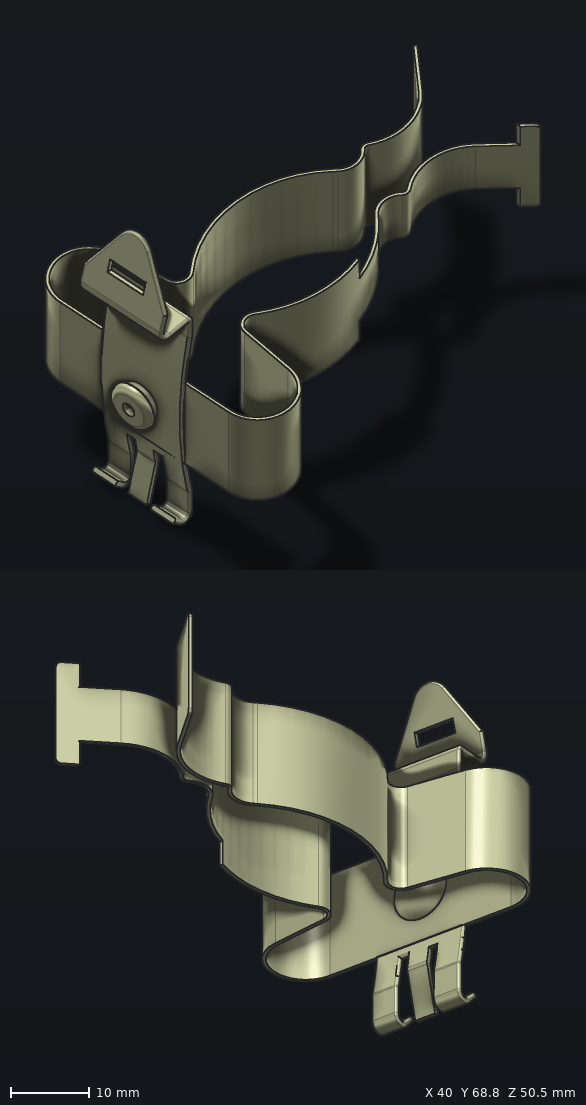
import cadquery as cq
import math


clip_thickness = 0.5
clip_width = 15.0
clip_corner_radius = 0.7
flat_half_length = 14.4
lobe_radius, lobe_angle = 5.35, 172.5
shoulder_length = 8.5
neck_radius, neck_angle = 1.93, 120.2
belly_radius, belly_angle = 19.15, 82.8
belly_to_waist_length = 0.6
waist_radius, waist_angle = 3.39, 90.0
notch_radius, notch_angle = 1.0, 78.9
lip_radius, lip_angle = 8.85, 80.5
jaw_end_length = 8.33

narrow_start_y = 31.0
narrow_end_y = 62.0
narrow_width = 8.0

plate_thickness = 0.8
plate_width = 14.0
plate_edge_round = 0.34
crown_front_y = -0.68
crown_z = 0.9
bow_half_height = 14.3
bow_depth = 1.46
crease_radius = 0.8
ledge_top_z = 19.0
ledge_bend_radius = 0.5
arm_bend_radius = 1.5
arm_lean = 15.0
arm_front_y = -4.65
arm_tip_z = 31.7
arm_tip_radius = 2.9
arm_shoulder_z = 23.1
arm_stock_length = 13.0
hook_radius = 1.05
hook_angle = 135.0
hook_bottom_z = -18.81
hook_end_length = 1.93

window_width = 6.1
window_height = 2.0
window_z = 25.0
slot_top_z = -9.05
slot_outer_x = 3.0
tongue_width = 3.15
tongue_bend_z = -11.25
tongue_lean = 14.2
tongue_length = 6.8

seat_depth = 1.0

shank_radius = 2.88
groove_radius = 2.03
button_radius = 3.5
button_edge_round = 1.0
collar_front_y = -1.5
button_back_y = -1.95
button_front_y = -3.0
dimple_radius = 1.0
dimple_depth = 1.0
dome_radius = 5.1
dome_height = 2.15
hole_reach = 2.0

plate_half_thickness = plate_thickness / 2
crown_y = crown_front_y + plate_half_thickness
bow_angle = 2 * math.degrees(math.atan(bow_depth / bow_half_height))
bow_radius = bow_half_height / math.sin(math.radians(bow_angle))
crease_drift = crease_radius * (1 - math.cos(math.radians(bow_angle)))
crease_rise = crease_radius * math.sin(math.radians(bow_angle))
upright_y = crown_y + bow_depth + crease_drift
upright_start = bow_half_height + crease_rise

arm_bend_y = arm_front_y + plate_half_thickness + arm_bend_radius

CUT_SIZE = 100.0
SELECT_MARGIN = 0.01


def straight(length):
    return length, 0, 0


def bend(radius, angle):
    """Bend on the middle surface; a positive angle turns left."""
    return 0, radius, angle


def bent_sheet(plane, start, heading, steps, thickness):
    """Workplane outline of a sheet whose middle line follows straights and bends."""
    x, y = start
    direction = math.radians(heading)
    stations = [(x, y, direction)]
    middles = []
    for length, radius, angle in steps:
        if angle == 0:
            x += length * math.cos(direction)
            y += length * math.sin(direction)
            middles.append(None)
        else:
            turn = math.radians(angle)
            signed_radius = math.copysign(radius, angle)
            center_x = x - signed_radius * math.sin(direction)
            center_y = y + signed_radius * math.cos(direction)
            arc = []
            for share in (0.5, 1.0):
                along = direction + share * turn
                arc.append((
                    center_x + signed_radius * math.sin(along),
                    center_y - signed_radius * math.cos(along),
                    along,
                ))
            middles.append(arc[0])
            x, y, direction = arc[1]
        stations.append((x, y, direction))

    def beside(station, offset):
        px, py, along = station
        return px - offset * math.sin(along), py + offset * math.cos(along)

    def trace(outline, ends, arc_middles, offset):
        for end, middle in zip(ends, arc_middles):
            if middle is None:
                outline = outline.lineTo(*beside(end, offset))
            else:
                outline = outline.threePointArc(beside(middle, offset), beside(end, offset))
        return outline

    half = thickness / 2
    outline = cq.Workplane(plane).moveTo(*beside(stations[0], half))
    outline = trace(outline, stations[1:], middles, half)
    outline = outline.lineTo(*beside(stations[-1], -half))
    outline = trace(outline, stations[-2::-1], middles[::-1], -half)
    return outline.close()


def block(x_range, y_range, z_range):
    sizes = [high - low for low, high in (x_range, y_range, z_range)]
    corner = (x_range[0], y_range[0], z_range[0])
    return cq.Workplane("XY").box(*sizes, centered=False).translate(corner)


def make_clip():
    steps = [
        straight(flat_half_length),
        bend(lobe_radius, lobe_angle),
        straight(shoulder_length),
        bend(neck_radius, -neck_angle),
        bend(belly_radius, belly_angle),
        straight(belly_to_waist_length),
        bend(waist_radius, -waist_angle),
        bend(notch_radius, notch_angle),
        bend(lip_radius, -lip_angle),
        straight(jaw_end_length),
    ]
    outline = bent_sheet("XY", (0, clip_thickness / 2), 0, steps, clip_thickness)
    half = outline.extrude(clip_width / 2, both=True)
    half = half.faces(">Y").edges("not |Z").fillet(clip_corner_radius)

    jaw_side = (0, CUT_SIZE)
    narrow_part = (narrow_start_y, narrow_end_y)
    margins = block(jaw_side, narrow_part, (-clip_width, clip_width)).cut(
        block(jaw_side, narrow_part, (-narrow_width / 2, narrow_width / 2))
    )
    clip = half.cut(margins).union(half.mirror("YZ"))
    return clip.cut(rivet_hole())


def plate_sheet(heading, steps, width):
    outline = bent_sheet("YZ", (crown_y, crown_z), heading, steps, plate_thickness)
    return outline.extrude(width / 2, both=True)


def upper_sheet():
    ledge_z = ledge_top_z - plate_half_thickness
    steps = [
        bend(bow_radius, -bow_angle),
        bend(crease_radius, bow_angle),
        straight(ledge_z - ledge_bend_radius - crown_z - upright_start),
        bend(ledge_bend_radius, 90),
        straight(upright_y - ledge_bend_radius - arm_bend_y),
        bend(arm_bend_radius, -(90 + arm_lean)),
        straight(arm_stock_length),
    ]
    return plate_sheet(90, steps, plate_width)


def lower_sheet():
    hook_center_z = hook_bottom_z + plate_half_thickness + hook_radius
    steps = [
        bend(bow_radius, bow_angle),
        bend(crease_radius, -bow_angle),
        straight(crown_z - upright_start - hook_center_z),
        bend(hook_radius, -hook_angle),
        straight(hook_end_length),
    ]
    return plate_sheet(-90, steps, plate_width)


def tongue():
    reach_angle = math.degrees(math.asin((crown_z - tongue_bend_z) / bow_radius))
    steps = [
        bend(bow_radius, reach_angle),
        bend(crease_radius, -(reach_angle + tongue_lean)),
        straight(tongue_length),
    ]
    below_slot_top = block((-CUT_SIZE, CUT_SIZE), (-CUT_SIZE, CUT_SIZE), (-CUT_SIZE, slot_top_z))
    return plate_sheet(-90, steps, tongue_width).intersect(below_slot_top)


def front_silhouette():
    """Plate width with a tapering top whose straight flanks run tangent into a round tip."""
    half_width = plate_width / 2
    tip_center_z = arm_tip_z - arm_tip_radius
    drop = tip_center_z - arm_shoulder_z
    flank_reach = math.hypot(drop, half_width)
    tangent_angle = math.atan2(-drop, half_width) + math.acos(arm_tip_radius / flank_reach)
    tangent_x = arm_tip_radius * math.cos(tangent_angle)
    tangent_z = tip_center_z + arm_tip_radius * math.sin(tangent_angle)
    return (
        cq.Workplane("XZ")
        .moveTo(-half_width, -CUT_SIZE)
        .lineTo(half_width, -CUT_SIZE)
        .lineTo(half_width, arm_shoulder_z)
        .lineTo(tangent_x, tangent_z)
        .threePointArc((0, arm_tip_z), (-tangent_x, tangent_z))
        .lineTo(-half_width, arm_shoulder_z)
        .close()
        .extrude(CUT_SIZE, both=True)
    )


def arm_window():
    """Slot cut square through the leaning arm."""
    arm_bend_z = ledge_top_z - plate_half_thickness + arm_bend_radius
    lean = math.radians(arm_lean)
    window_y = arm_bend_y - arm_bend_radius / math.cos(lean) + (window_z - arm_bend_z) * math.tan(lean)
    return (
        cq.Workplane("XY")
        .box(window_width, 3 * plate_thickness, window_height)
        .rotate((0, 0, 0), (1, 0, 0), -arm_lean)
        .translate((0, window_y, window_z))
    )


def is_through_edge(edge):
    """True for a straight edge that runs from one face of the sheet to the other."""
    longest = plate_thickness / math.cos(math.radians(arm_lean)) + SELECT_MARGIN
    is_long_enough = edge.Length() > plate_thickness - SELECT_MARGIN
    return edge.geomType() == "LINE" and is_long_enough and edge.Length() < longest


def round_rims(plate, edges):
    """Round the given edges, leaving out those that run straight through the sheet."""
    rims = [edge for edge in edges if not is_through_edge(edge)]
    return plate.newObject(rims).fillet(plate_edge_round)


def make_plate():
    far = (-CUT_SIZE, CUT_SIZE)
    blank = upper_sheet().union(lower_sheet()).intersect(front_silhouette())
    plate = round_rims(blank, blank.edges("not |X").vals())

    tongue_side = tongue_width / 2
    bottom = -CUT_SIZE
    plate = plate.cut(block((tongue_side, slot_outer_x), far, (bottom, slot_top_z)))
    slot_rims = plate.edges(cq.selectors.BoxSelector(
        (tongue_side + SELECT_MARGIN, -CUT_SIZE, -CUT_SIZE),
        (slot_outer_x + SELECT_MARGIN, CUT_SIZE, slot_top_z + SELECT_MARGIN),
    ))
    plate = round_rims(plate, slot_rims.vals())
    plate = plate.cut(block((-slot_outer_x, tongue_side), far, (bottom, slot_top_z)))
    plate = plate.union(tongue())

    half_clip = clip_width / 2
    seat = block(far, (0, seat_depth), (-half_clip, half_clip))
    return plate.cut(seat).cut(arm_window()).cut(rivet_hole())


def rivet_hole():
    """Shank-sized cutter reaching through the sheets next to the rivet, clear of the jaws."""
    return cq.Workplane("XZ").circle(shank_radius).extrude(hole_reach, both=True)


def make_rivet():
    dome_base_radius = math.sqrt(2 * dome_radius * dome_height - dome_height**2)
    dome_center_y = clip_thickness + dome_height - dome_radius
    half_rim = math.atan2(dome_base_radius, dome_radius - dome_height) / 2
    dome_middle = (dome_radius * math.sin(half_rim), dome_center_y + dome_radius * math.cos(half_rim))
    round_start = button_radius - button_edge_round
    diagonal = button_edge_round * math.sqrt(0.5)
    round_middle = (round_start + diagonal, button_front_y + button_edge_round - diagonal)
    return (
        cq.Workplane("XY")
        .moveTo(0, button_front_y + dimple_depth)
        .lineTo(dimple_radius, button_front_y)
        .lineTo(round_start, button_front_y)
        .threePointArc(round_middle, (button_radius, button_front_y + button_edge_round))
        .lineTo(button_radius, button_back_y)
        .lineTo(groove_radius, button_back_y)
        .lineTo(groove_radius, collar_front_y)
        .lineTo(shank_radius, collar_front_y)
        .lineTo(shank_radius, clip_thickness)
        .lineTo(dome_base_radius, clip_thickness)
        .threePointArc(dome_middle, (0, clip_thickness + dome_height))
        .close()
        .revolve(360, (0, 0, 0), (0, 1, 0))
    )


clip = make_clip()
plate = make_plate()
rivet = make_rivet()
result = cq.Compound.makeCompound([clip.val(), plate.val(), rivet.val()])